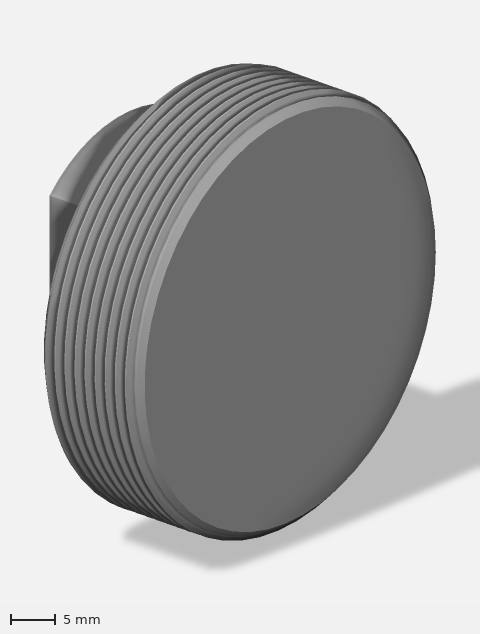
import cadquery as cq
import math

outer_diameter = 52.4
disc_length = 15.0
chamfer = 1.45

turns_on_disc = 10
pitch = disc_length / turns_on_disc
flank_angle = math.radians(30)
root_flat = pitch / 4
crest_flat = pitch / 8
thread_depth = (pitch - root_flat - crest_flat) / 2 / math.tan(flank_angle)
root_radius = outer_diameter / 2 - thread_depth
crest_offset = 1.05
crest_phase = crest_offset + pitch / 2
run_out_turns = 3
ridge_embed = 0.05

boss_diameter = 37.0
boss_length = 9.0
across_flats = 27.0
flat_length = 8.0


def make_blank(radius):
    """Plain disc of the given radius, trimmed to the chamfered thread envelope."""
    envelope = cq.Workplane("YZ").circle(outer_diameter / 2).extrude(disc_length)
    envelope = envelope.faces("<X or >X").chamfer(chamfer)
    return cq.Workplane("YZ").circle(radius).extrude(disc_length).intersect(envelope)


def make_ridge():
    """Helical ridge around Z, longer than the disc, turned so that its axis lies along X."""
    crest_radius = outer_diameter / 2
    base_radius = root_radius - ridge_embed
    crest_half = crest_flat / 2
    base_half = crest_half + (crest_radius - base_radius) * math.tan(flank_angle)
    start = crest_phase - run_out_turns * pitch
    height = (turns_on_disc + 2 * run_out_turns) * pitch

    corners = [
        (base_radius, start - base_half),
        (crest_radius, start - crest_half),
        (crest_radius, start + crest_half),
        (base_radius, start + base_half),
    ]
    helices = [
        cq.Wire.makeHelix(pitch, height, radius, center=cq.Vector(0, 0, z)).Edges()[0]
        for radius, z in corners
    ]
    faces = [
        cq.Face.makeRuledSurface(helix, helices[(i + 1) % len(helices)])
        for i, helix in enumerate(helices)
    ]
    for end in (0, 1):
        end_outline = cq.Wire.makePolygon([helix.positionAt(end) for helix in helices], close=True)
        faces.append(cq.Face.makeFromWires(end_outline))
    ridge = cq.Solid.makeSolid(cq.Shell.makeShell(faces)).fix()
    return cq.Workplane(obj=ridge).rotate((0, 0, 0), (0, 1, 0), 90)


def make_threaded_disc():
    ridge = make_ridge().intersect(make_blank(outer_diameter / 2), clean=False)
    return make_blank(root_radius).union(ridge, clean=False)


def make_boss():
    boss = cq.Workplane("YZ").circle(boss_diameter / 2).extrude(-boss_length)
    flat_depth = (boss_diameter - across_flats) / 2
    for side in (-1, 1):
        flat = (
            cq.Workplane("YZ", origin=(-boss_length, 0, 0))
            .center(side * (across_flats + flat_depth) / 2, 0)
            .rect(flat_depth, boss_diameter)
            .extrude(flat_length)
        )
        boss = boss.cut(flat)
    return boss


part = make_threaded_disc().union(make_boss(), clean=False)
result = part.solids()